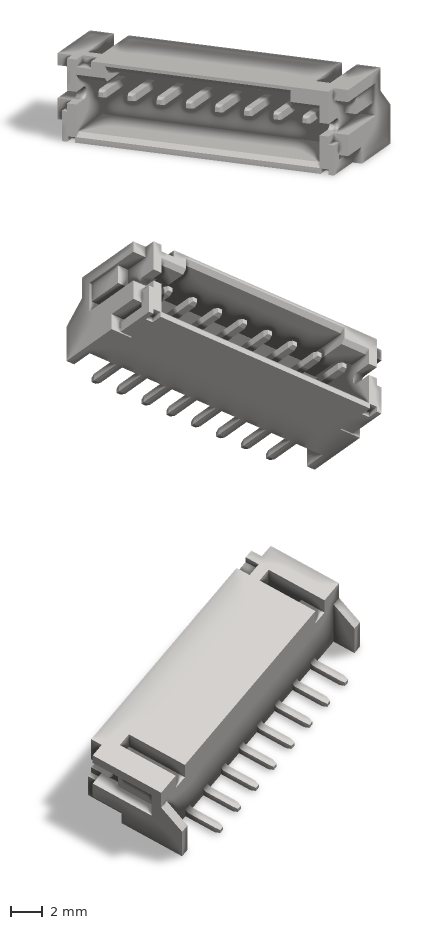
import cadquery as cq

LENGTH = 19.9
HEIGHT = 5.5
HALF = LENGTH / 2
BODY_DEPTH = 6.0
EAR_DEPTH = 7.6
EAR_WIDTH = 0.62
EAR_SLOPE_TOP = 3.95
EAR_SLOPE_BOTTOM = 2.59

STEP_WIDTH = 1.0
STEP_DEPTH = 0.8

END_WALL = 1.63
CAVITY_DEPTH = 4.24
CAVITY_FLOOR = 0.68
CAVITY_CEILING = 4.2
KEYWAY_INSET = 3.6
KEYWAY_CEILING = 4.98
MOUTH_CHAMFER = 0.3

GROOVE_BOTTOM = 2.53
GROOVE_TOP = 4.7
GROOVE_DEPTH = 5.27
BLOCK_FRONT = 2.59
BLOCK_INSET = 0.2
SLOT_TOP = 3.36
SLOT_DEPTH = 1.65

TOP_SLOT_WIDTH = 1.01
TOP_SLOT_FRONT = 1.75
MARK_DEPTH = 1.0
MARK_FLOOR = 5.0

POCKET_DEPTH = 3.0
POCKET_TOP = 1.13

TAB_SHEET = 0.35
TAB_HEIGHT = 1.99
TAB_RAIL_HEIGHT = 0.75
TAB_FOOT_END = 2.89
TAB_FOOT_WIDTH = 0.92

PIN_COUNT = 8
PIN_INSET = 2.97
PIN_SIZE = 0.5
PIN_TIP_SIZE = 0.32
PIN_TIP_LENGTH = 0.35
PIN_Z = 3.1
PIN_FRONT = 0.8
TAIL_END = 8.6
TAIL_BEND_RADIUS = 0.25

undercut_inset = STEP_WIDTH - TAB_SHEET + TAB_FOOT_WIDTH


def box(x0, x1, y0, y1, z0, z1):
    """Box between two opposite corners."""
    return cq.Workplane("XY").box(x1 - x0, y1 - y0, z1 - z0, centered=False).translate((x0, y0, z0))


def end_box(inset0, inset1, y0, y1, z0, z1):
    """Box at the -X end, with X given as distances in from that end."""
    return box(inset0 - HALF, inset1 - HALF, y0, y1, z0, z1)


def mirror_x(shape):
    return shape.mirror("YZ")


def both_ends(shape):
    return shape.union(mirror_x(shape))


def blank():
    """Central block with a sloped ear at each end."""
    ear = (
        cq.Workplane("YZ")
        .polyline(
            [
                (0, 0),
                (EAR_DEPTH, 0),
                (EAR_DEPTH, EAR_SLOPE_BOTTOM),
                (BODY_DEPTH, EAR_SLOPE_TOP),
                (BODY_DEPTH, HEIGHT),
                (0, HEIGHT),
            ]
        )
        .close()
        .extrude(EAR_WIDTH)
        .translate((-HALF, 0, 0))
    )
    block = box(EAR_WIDTH - HALF, HALF - EAR_WIDTH, 0, BODY_DEPTH, 0, HEIGHT)
    return block.union(both_ends(ear))


def cavity_section(inset, ceiling):
    """Cavity centred in X, with its floor and ceiling chamfered at the mouth."""
    return (
        cq.Workplane("YZ")
        .polyline(
            [
                (0, CAVITY_FLOOR - MOUTH_CHAMFER),
                (MOUTH_CHAMFER, CAVITY_FLOOR),
                (CAVITY_DEPTH, CAVITY_FLOOR),
                (CAVITY_DEPTH, ceiling),
                (MOUTH_CHAMFER, ceiling),
                (0, ceiling + MOUTH_CHAMFER),
            ]
        )
        .close()
        .extrude(HALF - inset, both=True)
    )


def cavity():
    return cavity_section(END_WALL, CAVITY_CEILING).union(cavity_section(KEYWAY_INSET, KEYWAY_CEILING))


def end_step():
    return end_box(0, STEP_WIDTH, 0, STEP_DEPTH, 0, HEIGHT)


def end_groove():
    """Groove in the end face, around a block that stays at its rear."""
    groove = end_box(0, STEP_WIDTH, 0, GROOVE_DEPTH, GROOVE_BOTTOM, GROOVE_TOP)
    return groove.cut(end_box(BLOCK_INSET, STEP_WIDTH, BLOCK_FRONT, GROOVE_DEPTH, SLOT_TOP, GROOVE_TOP))


def wall_slot():
    """Round-ended slot from the mating face, through the cavity side wall."""
    radius = (SLOT_TOP - GROOVE_BOTTOM) / 2
    return (
        cq.Workplane("YZ")
        .moveTo(0, GROOVE_BOTTOM)
        .lineTo(SLOT_DEPTH - radius, GROOVE_BOTTOM)
        .threePointArc((SLOT_DEPTH, GROOVE_BOTTOM + radius), (SLOT_DEPTH - radius, SLOT_TOP))
        .lineTo(0, SLOT_TOP)
        .close()
        .extrude(END_WALL)
        .translate((-HALF, 0, 0))
    )


def top_slot():
    """Slot in the top face, open to the rear and down to the cavity."""
    return end_box(END_WALL, END_WALL + TOP_SLOT_WIDTH, TOP_SLOT_FRONT, BODY_DEPTH, CAVITY_CEILING, HEIGHT)


def tab_pocket():
    pocket = end_box(0, STEP_WIDTH, 0, POCKET_DEPTH, 0, POCKET_TOP)
    undercut = end_box(STEP_WIDTH, undercut_inset, 0, POCKET_DEPTH, 0, TAB_SHEET)
    return pocket.union(undercut)


def polarity_mark():
    """Recess in the top front edge, at the -X end only."""
    return end_box(END_WALL, END_WALL + TOP_SLOT_WIDTH, 0, MARK_DEPTH, MARK_FLOOR, HEIGHT)


def tapered_tip(x, y, z, direction):
    """Pin tip narrowing along Y from a full section at y; direction is +1 or -1."""
    plane = cq.Plane(origin=(x, y, z), xDir=(1, 0, 0), normal=(0, direction, 0))
    return (
        cq.Workplane(plane)
        .rect(PIN_SIZE, PIN_SIZE)
        .workplane(offset=PIN_TIP_LENGTH)
        .rect(PIN_TIP_SIZE, PIN_TIP_SIZE)
        .loft(ruled=True)
    )


def contact(x):
    """Pin in the cavity and bent tail behind the rear wall, both joined to the housing."""
    half = PIN_SIZE / 2
    pin_root = PIN_FRONT + PIN_TIP_LENGTH
    tail_root = TAIL_END - PIN_TIP_LENGTH
    pin = box(x - half, x + half, pin_root, CAVITY_DEPTH, PIN_Z - half, PIN_Z + half)
    tail = (
        cq.Workplane("YZ")
        .moveTo(BODY_DEPTH, 0)
        .lineTo(tail_root, 0)
        .lineTo(tail_root, PIN_SIZE)
        .lineTo(BODY_DEPTH + TAIL_BEND_RADIUS, PIN_SIZE)
        .radiusArc((BODY_DEPTH, PIN_SIZE + TAIL_BEND_RADIUS), TAIL_BEND_RADIUS)
        .close()
        .extrude(half, both=True)
        .translate((x, 0, 0))
    )
    pin_tip = tapered_tip(x, pin_root, PIN_Z, -1)
    tail_tip = tapered_tip(x, tail_root, half, 1)
    return pin.union(pin_tip).union(tail).union(tail_tip)


def make_housing():
    body = blank().cut(cavity())
    for feature in (end_step(), end_groove(), wall_slot(), top_slot(), tab_pocket()):
        body = body.cut(both_ends(feature))
    body = body.cut(polarity_mark())
    pitch = (LENGTH - 2 * PIN_INSET) / (PIN_COUNT - 1)
    for i in range(PIN_COUNT):
        body = body.union(contact(PIN_INSET - HALF + i * pitch))
    return body


def make_solder_tab():
    """Tab at the -X end: upright plate, bent in to a foot under the side wall."""
    outer = STEP_WIDTH - TAB_SHEET
    upright = end_box(outer, STEP_WIDTH, 0, STEP_DEPTH, 0, TAB_HEIGHT)
    rail = end_box(outer, STEP_WIDTH, 0, POCKET_DEPTH, TAB_SHEET, TAB_RAIL_HEIGHT)
    base = end_box(outer, STEP_WIDTH, 0, TAB_FOOT_END, 0, TAB_SHEET)
    foot = end_box(outer, undercut_inset, STEP_DEPTH, TAB_FOOT_END, 0, TAB_SHEET)
    return upright.union(rail).union(base).union(foot)


housing = make_housing()
solder_tab = make_solder_tab()
solder_tabs = [solder_tab, mirror_x(solder_tab)]

result = cq.Compound.makeCompound([housing.val(), *[tab.val() for tab in solder_tabs]])